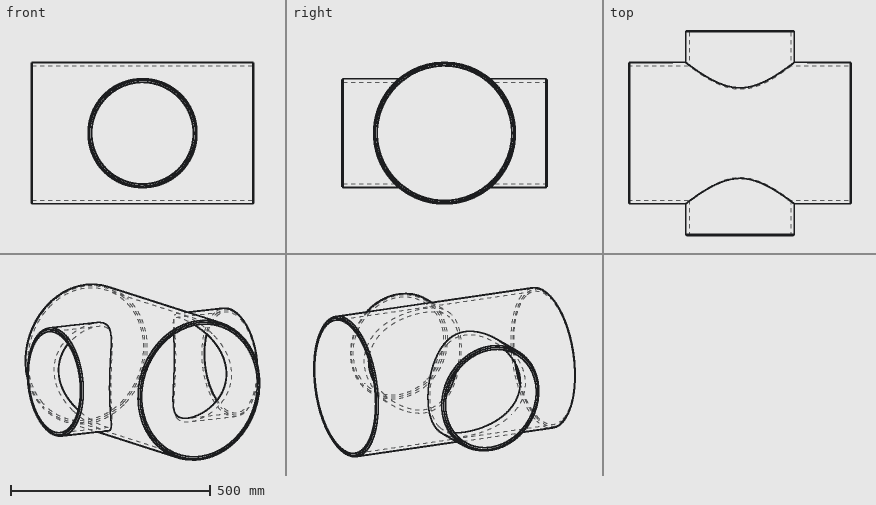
import cadquery as cq

run_length = 559.0
run_diameter = 355.5
run_bore = 337.5

branch_length = 514.0
branch_diameter = 273.0
branch_bore = 255.0

bevel_depth = 3.5
bevel_width = 4.0


def centred_cylinder(plane, diameter, length):
    """Solid cylinder centred on the origin, along the normal of the plane."""
    return cq.Workplane(plane).circle(diameter / 2).extrude(length / 2, both=True)


def bevelled_cylinder(plane, diameter, length):
    """Centred cylinder with a conical weld bevel at both ends."""
    radius = diameter / 2
    half_length = length / 2
    shoulder = half_length - bevel_depth
    end_radius = radius - bevel_width
    return (
        cq.Workplane(plane)
        .moveTo(0, -half_length)
        .lineTo(end_radius, -half_length)
        .lineTo(radius, -shoulder)
        .lineTo(radius, shoulder)
        .lineTo(end_radius, half_length)
        .lineTo(0, half_length)
        .close()
        .revolve(360, (0, 0, 0), (0, 1, 0))
    )


run = bevelled_cylinder("ZX", run_diameter, run_length)
branch = bevelled_cylinder("XY", branch_diameter, branch_length)

result = (
    run.union(branch)
    .cut(centred_cylinder("YZ", run_bore, run_length))
    .cut(centred_cylinder("XZ", branch_bore, branch_length))
)